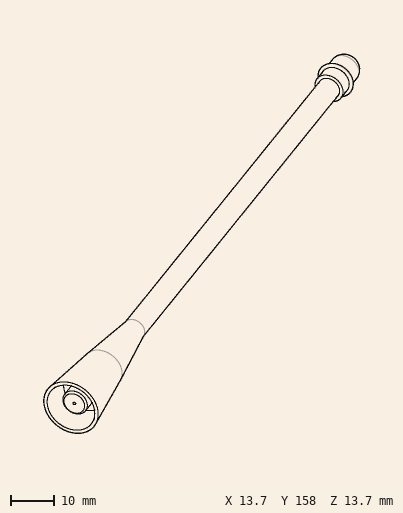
import cadquery as cq

length = 158.0
mouth_y = -length / 2
tip_y = length / 2

mouth_radius = 13.7 / 2
knee_radius = 10.0 / 2
rod_radius = 2.7
knee_y = mouth_y + 17.9
flare_end_y = mouth_y + 35.9

head_radius = 7.1 / 2
head_length = 11.5
head_rounding = 2.5
collar_radius = 4.5
collar_section_radius = 0.5
collar_from_tip = 7.7

socket_mouth_radius = 6.0
socket_floor_radius = 5.4
socket_depth = 7.9
post_radius = 6.2 / 2
post_recess = 1.9
post_chamfer = 0.5
contact_hole_radius = 0.3
contact_hole_depth = 1.6


def cylinder(radius, start_y, height):
    """Cylinder on the Y axis running from start_y toward +Y."""
    return cq.Workplane(cq.Solid.makeCylinder(radius, height, cq.Vector(0, start_y, 0), cq.Vector(0, 1, 0)))


def revolve_about_y(profile):
    return profile.revolve(360, (0, 0, 0), (0, 1, 0))


def make_body():
    """Skirt and rod as one revolved outline."""
    outline = (
        cq.Workplane("XY")
        .moveTo(0, mouth_y)
        .lineTo(mouth_radius, mouth_y)
        .lineTo(knee_radius, knee_y)
        .lineTo(rod_radius, flare_end_y)
        .lineTo(rod_radius, tip_y - head_length)
        .lineTo(0, tip_y - head_length)
        .close()
    )
    return revolve_about_y(outline)


def make_head():
    """Cylindrical head with a rounded tip."""
    head = cylinder(head_radius, tip_y - head_length, head_length)
    return head.faces(">Y").edges().fillet(head_rounding)


def make_collar():
    """Round-section ring around the head."""
    section = cq.Workplane("XY").center(collar_radius - collar_section_radius, tip_y - collar_from_tip)
    section = section.circle(collar_section_radius)
    ring_axis_x = collar_section_radius - collar_radius
    return section.revolve(360, (ring_axis_x, 0, 0), (ring_axis_x, 1, 0))


def make_socket():
    floor_y = mouth_y + socket_depth
    outline = (
        cq.Workplane("XY")
        .moveTo(0, mouth_y)
        .lineTo(socket_mouth_radius, mouth_y)
        .lineTo(socket_floor_radius, floor_y)
        .lineTo(0, floor_y)
        .close()
    )
    return revolve_about_y(outline)


def make_post():
    post_end = mouth_y + post_recess
    post = cylinder(post_radius, post_end, socket_depth - post_recess)
    post = post.faces("<Y").edges().chamfer(post_chamfer)
    return post.cut(cylinder(contact_hole_radius, post_end, contact_hole_depth))


outer_body = make_body().union(make_head()).union(make_collar())
result = outer_body.cut(make_socket()).union(make_post())